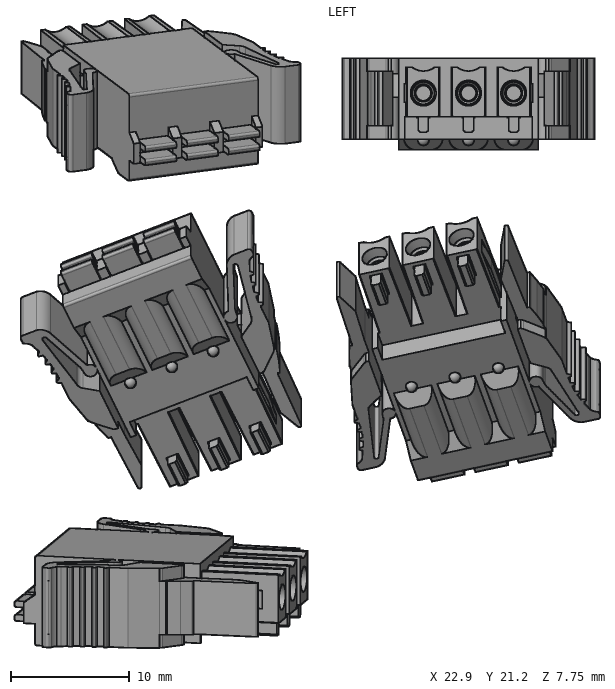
import cadquery as cq
import math


length = 22.9
width = 21.23
height = 7.75
pole_pitch = 3.8
poles = [-pole_pitch, 0.0, pole_pitch]

housing_front = 6.62
housing_back = 20.95
housing_half_width = 5.89
base_z = 0.9
housing_back_round = 0.23
belly_slope_start = 17.08
belly_slope_end = 18.57
recess_half_width = 5.38
recess_depth = 1.37

lobe_half_width = 1.65
lobe_top = 1.83
lobe_round = 1.03
lobe_slope_start = 11.8
lobe_slope_end = 13.05
knob_x = 11.45
knob_radius = 0.48
knob_z = 0.85

sleeve_bottom = 2.8
sleeve_top = 6.96
sleeve_front_half = 1.37
sleeve_back_half = 1.47
sleeve_edge = 0.07
outer_sleeve_trim = 0.07
groove_radius = 1.6
groove_depth = 0.32
bore_z = 4.79
mouth_radius = 1.08
entry_radius = 0.95
entry_depth = 0.92
funnel_radius = 0.73
funnel_depth = 1.15
bore_radius = 0.65
bore_depth = 4.58
key_start = 0.4
key_end = 2.65
key_width = 0.85
key_root_width = 1.08
key_root_height = 0.1
key_bottom = 1.49
key_edge = 0.15

pad_start = 1.37
pad_start_y = 5.2
pad_full = 3.44
pad_face = 5.43
pad_root = 5.04
pad_bottom = 4.0
pad_top = 5.56

tooth_end = 21.92
tooth_bottom = 1.85
tooth_root_top = 4.35
tooth_tip_top = 3.7
tooth_edge = 0.07
slot_half_width = 1.49
blade_half_width = 1.42
blade_thickness = 0.55
blade_floors = [1.88, 3.07]
blade_embed = 0.45
blade_round = 0.2

wing_peak = width / 2
wing_inner_y = 6.5
grip_y = 9.15
grip_curve_radius = 8.93
grip_curve_start = 14.2
grip_end = 17.72
arm_bottom = 2.04
arm_top = 6.65
ball_x = 13.83
ball_y = 6.43
ball_radius = 0.57
rib_start = 13.95
rib_pitch = 1.0
rib_count = 4
rib_height = 0.32
rib_base = 0.48
rib_crest = 0.15
rib_root = 0.11
rib_round = 0.05

post_bottom = 4.42
post_top = 6.41


def block(x0, x1, y0, y1, z0, z1):
    return cq.Workplane("XY").box(x1 - x0, y1 - y0, z1 - z0, centered=False).translate((x0, y0, z0))


def both_sides(body):
    return body.union(body.mirror("XZ"))


def side_profile(points, half_width):
    """Extrude an X-Z outline symmetrically across Y."""
    return cq.Workplane("XZ").polyline(points).close().extrude(half_width, both=True)


def plan_profile(points, z0, z1):
    """Extrude an X-Y outline from z0 to z1."""
    return cq.Workplane("XY").workplane(offset=z0).polyline(points).close().extrude(z1 - z0)


def make_housing():
    outline = [
        (housing_front, base_z),
        (belly_slope_start, base_z),
        (belly_slope_end, 0),
        (housing_back, 0),
        (housing_back, height),
        (housing_front, height),
    ]
    body = side_profile(outline, housing_half_width)
    body = body.faces(">X").edges("|Y").fillet(housing_back_round)
    recess = block(
        housing_front, housing_front + recess_depth,
        -recess_half_width, recess_half_width,
        base_z, sleeve_bottom,
    )
    return body.cut(recess)


def make_lobe(y):
    lobe = block(lobe_slope_start, belly_slope_end, y - lobe_half_width, y + lobe_half_width, 0, lobe_top)
    lobe = lobe.faces("<Z").edges("|X").fillet(lobe_round)
    envelope = side_profile(
        [
            (lobe_slope_start, base_z),
            (lobe_slope_end, 0),
            (belly_slope_end, 0),
            (belly_slope_end, lobe_top),
            (lobe_slope_start, lobe_top),
        ],
        housing_half_width,
    )
    knob = cq.Workplane("XY").sphere(knob_radius).translate((knob_x, y, knob_z))
    return lobe.intersect(envelope).union(knob)


def make_sleeve(y):
    back = housing_front + recess_depth
    flare = (sleeve_back_half - sleeve_front_half) / housing_front
    back_half = sleeve_front_half + flare * back
    trim_low = outer_sleeve_trim if y > 0 else 0
    trim_high = outer_sleeve_trim if y < 0 else 0
    plan = [
        (0, y - sleeve_front_half + trim_low),
        (back, y - back_half + trim_low),
        (back, y + back_half - trim_high),
        (0, y + sleeve_front_half - trim_high),
    ]
    sleeve = plan_profile(plan, sleeve_bottom, sleeve_top)
    sleeve = sleeve.faces("<Z").edges("<Y or >Y").chamfer(sleeve_edge)
    groove = (
        cq.Workplane("YZ").center(y, sleeve_top - groove_depth + groove_radius)
        .circle(groove_radius).extrude(housing_front)
    )
    key = block(
        key_start, key_end, y - key_width / 2, y + key_width / 2, key_bottom, sleeve_bottom + sleeve_edge,
    )
    key = key.faces("<Z").edges("|X").chamfer(key_edge)
    key_root = block(
        key_start, key_end,
        y - key_root_width / 2, y + key_root_width / 2,
        sleeve_bottom - key_root_height, sleeve_bottom + sleeve_edge,
    )
    return sleeve.cut(groove).union(key).union(key_root)


def make_bore(y):
    outline = [
        (0, 0),
        (0, mouth_radius),
        (entry_depth, entry_radius),
        (funnel_depth, funnel_radius),
        (funnel_depth, bore_radius),
        (bore_depth, bore_radius),
        (bore_depth, 0),
    ]
    bore = cq.Workplane("XY").polyline(outline).close().revolve(360, (0, 0, 0), (1, 0, 0))
    return bore.translate((0, y, bore_z))


def make_pad():
    plan = [
        (pad_start, pad_root),
        (pad_start, pad_start_y),
        (pad_full, pad_face),
        (housing_front, pad_face),
        (housing_front, pad_root),
    ]
    return plan_profile(plan, pad_bottom, pad_top)


def make_teeth():
    outline = [
        (housing_back, tooth_bottom),
        (tooth_end, tooth_bottom),
        (tooth_end, tooth_tip_top - tooth_edge),
        (tooth_end - tooth_edge, tooth_tip_top),
        (housing_back, tooth_root_top),
    ]
    teeth = side_profile(outline, housing_half_width)
    for y in poles:
        slot = block(
            housing_back, tooth_end, y - slot_half_width, y + slot_half_width, tooth_bottom, tooth_root_top,
        )
        teeth = teeth.cut(slot)
    return teeth


def make_blade(y, floor):
    blade = block(
        housing_back - blade_embed, length,
        y - blade_half_width, y + blade_half_width,
        floor, floor + blade_thickness,
    )
    return blade.faces(">X").edges("|Y").fillet(blade_round)


def grip_line(x):
    """Height and slope angle of the curved grip surface at x."""
    run = max(0.0, x - grip_curve_start)
    angle = math.asin(run / grip_curve_radius)
    return grip_y + grip_curve_radius * (1 - math.cos(angle)), angle


def wing_outline(z0, z1):
    grip_mid = (grip_curve_start + grip_end) / 2
    return (
        cq.Workplane("XY").workplane(offset=z0)
        .moveTo(1.28, 7.21)
        .threePointArc((1.24, 7.37), (1.37, 7.5))
        .lineTo(6.7, 7.65)
        .lineTo(6.7, 7.88)
        .lineTo(6.85, 7.92)
        .lineTo(7.76, 8.22)
        .lineTo(8.85, 8.5)
        .lineTo(8.98, 8.45)
        .lineTo(9.48, 8.56)
        .lineTo(12.07, grip_y)
        .lineTo(grip_curve_start, grip_y)
        .threePointArc((grip_mid, grip_line(grip_mid)[0]), (grip_end, grip_line(grip_end)[0]))
        .lineTo(18.02, 9.98)
        .threePointArc((18.25, 10.21), (18.4, 10.47))
        .threePointArc((18.48, 10.58), (18.62, wing_peak))
        .lineTo(18.94, wing_peak)
        .threePointArc((19.12, 10.5), (19.2, 10.3))
        .lineTo(19.2, 9.07)
        .threePointArc((18.95, 8.5), (18.48, 8.1))
        .lineTo(14.38, 6.48)
        .lineTo(ball_x, ball_y)
        .lineTo(ball_x, ball_y + ball_radius)
        .lineTo(14.38, 7.08)
        .lineTo(18.2, 8.59)
        .threePointArc((18.3, 8.85), (18.07, 8.95))
        .lineTo(13.05, 8.02)
        .threePointArc((12.78, 7.92), (12.55, 7.7))
        .lineTo(11.72, wing_inner_y)
        .lineTo(6.53, wing_inner_y)
        .lineTo(3.18, 6.37)
        .close()
        .extrude(z1 - z0)
    )


def make_rib(x):
    y, angle = grip_line(x)
    points = [
        (-rib_base / 2, -rib_root),
        (-rib_base / 2, 0),
        (-rib_crest / 2, rib_height),
        (rib_crest / 2, rib_height),
        (rib_base / 2, 0),
        (rib_base / 2, -rib_root),
    ]
    rib = plan_profile(points, base_z, height)
    rib = rib.edges("|Z and >Y").fillet(rib_round)
    return rib.rotate((0, 0, 0), (0, 0, 1), math.degrees(angle)).translate((x, y, 0))


def make_wing():
    full_height_area = plan_profile(
        [
            (7.83, 0),
            (7.83, 6.78),
            (7.97, 6.98),
            (9.3, 8.4),
            (9.48, 8.52),
            (9.48, wing_peak),
            (length, wing_peak),
            (length, 0),
        ],
        base_z, height,
    )
    wing = wing_outline(base_z, height).intersect(full_height_area)
    wing = wing.union(wing_outline(arm_bottom, arm_top))
    ball = (
        cq.Workplane("XY").workplane(offset=base_z)
        .center(ball_x, ball_y).circle(ball_radius).extrude(height - base_z)
    )
    wing = wing.union(ball)
    for i in range(rib_count):
        wing = wing.union(make_rib(rib_start + i * rib_pitch))
    return wing


def make_post():
    y0 = housing_half_width
    y1 = wing_inner_y
    return plan_profile(
        [(9.43, y0), (9.66, y1), (10.95, y1), (11.13, y0)],
        post_bottom, post_top,
    )


result = make_housing().union(make_teeth())
for pole_y in poles:
    result = result.union(make_lobe(pole_y))
    result = result.union(make_sleeve(pole_y))
    for blade_floor in blade_floors:
        result = result.union(make_blade(pole_y, blade_floor))

result = result.union(both_sides(make_pad()))
for pole_y in poles:
    result = result.cut(make_bore(pole_y))

result = result.union(both_sides(make_wing().union(make_post())))